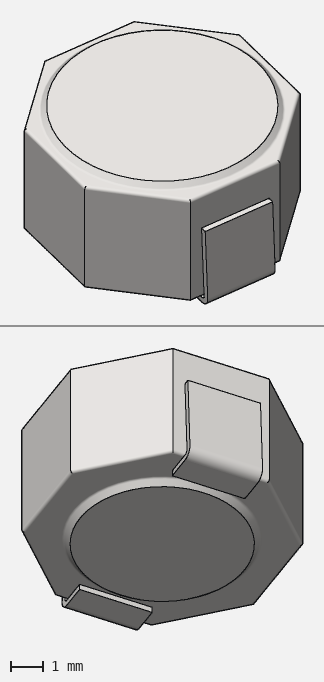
import cadquery as cq
import math

overall_length = 8.69
total_height = 4.5

core_width = 8.0
facet_width = 3.32
core_corner_cut = (core_width - facet_width) / 2
core_edge_radius = 0.1

boss_height = 0.2
top_radius = 3.55
bottom_radius = 2.83
foot_fillet_radius = 0.1

terminal_width = 2.5
terminal_thickness = boss_height
terminal_height = 3.0
bend_inner_radius = 0.13
bend_outer_radius = bend_inner_radius + terminal_thickness
foot_inner_end = 3.15
lean_angle = math.radians(3.0)

core_bottom = boss_height
core_top = total_height - boss_height


def make_boss(end_radius):
    """45 degree conical boss on z = 0, with a concave fillet around its foot."""
    cone_foot = end_radius + boss_height
    tangent_length = foot_fillet_radius * math.tan(math.radians(22.5))
    cone_tangent = tangent_length * math.cos(math.radians(45))
    return (
        cq.Workplane("XZ")
        .lineTo(cone_foot + tangent_length, 0)
        .radiusArc((cone_foot - cone_tangent, cone_tangent), foot_fillet_radius)
        .lineTo(end_radius, boss_height)
        .lineTo(0, boss_height)
        .close()
        .revolve(360, (0, 0, 0), (0, 1, 0))
    )


def make_core():
    """Octagonal block with rounded rims and a conical boss on each end."""
    block = (
        cq.Workplane("XY", origin=(0, 0, core_bottom))
        .rect(core_width, core_width)
        .extrude(core_top - core_bottom)
        .edges("|Z")
        .chamfer(core_corner_cut)
        .faces("<Z or >Z")
        .edges()
        .fillet(core_edge_radius)
    )
    top_boss = make_boss(top_radius).translate((0, 0, core_top))
    bottom_boss = make_boss(bottom_radius).mirror("XY").translate((0, 0, core_bottom))
    return block.union(top_boss).union(bottom_boss)


def make_terminal(turn):
    """Terminal with a flat foot, a round bend and an arm leaning inwards."""
    bend_x = overall_length / 2 - bend_outer_radius
    bend_z = bend_outer_radius

    def bend_point(radius, angle):
        return (bend_x + radius * math.cos(angle), bend_z + radius * math.sin(angle))

    def arm_tip(radius):
        start_x, start_z = bend_point(radius, lean_angle)
        return (start_x - (terminal_height - start_z) * math.tan(lean_angle), terminal_height)

    mid_bend = (lean_angle - math.pi / 2) / 2
    profile = (
        cq.Workplane("XZ", origin=(0, terminal_width / 2, 0))
        .moveTo(foot_inner_end, 0)
        .lineTo(bend_x, 0)
        .threePointArc(
            bend_point(bend_outer_radius, mid_bend),
            bend_point(bend_outer_radius, lean_angle),
        )
        .lineTo(*arm_tip(bend_outer_radius))
        .lineTo(*arm_tip(bend_inner_radius))
        .lineTo(*bend_point(bend_inner_radius, lean_angle))
        .threePointArc(
            bend_point(bend_inner_radius, mid_bend),
            (bend_x, terminal_thickness),
        )
        .lineTo(foot_inner_end, terminal_thickness)
        .close()
    )
    return profile.extrude(terminal_width).rotate((0, 0, 0), (0, 0, 1), turn)


core = make_core()
terminals = [make_terminal(turn) for turn in (0, 180)]

result = cq.Compound.makeCompound([core.val(), *[terminal.val() for terminal in terminals]])